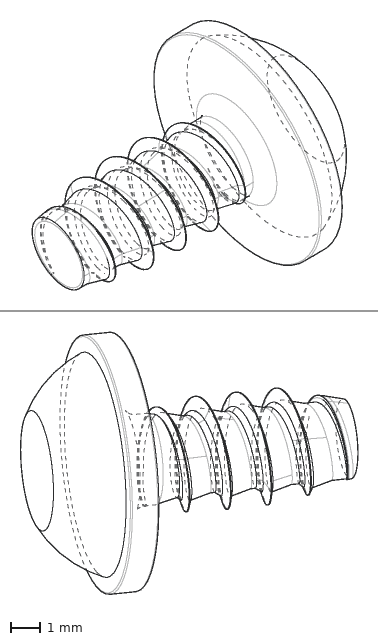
import cadquery as cq
import math

HEAD_HEIGHT = 3.11
TOTAL_LENGTH = 11.1
SHANK_LENGTH = TOTAL_LENGTH - HEAD_HEIGHT
FLANGE_RADIUS = 9.0 / 2
FLANGE_THICKNESS = 1.02
FLANGE_EDGE_ROUND = 0.05
DOME_BASE_RADIUS = 3.91
DOME_TOP_RADIUS = 2.09

NECK_RADIUS = 1.59
NECK_LENGTH = 0.97
NECK_FILLET = 0.58
NECK_TAPER_LENGTH = 1.0
CORE_RADIUS = 1.38
TIP_RECESS_RADIUS = 1.29
TIP_RECESS_DEPTH = 0.11

THREAD_PITCH = 1.45
FIRST_CREST_DEPTH = 1.04
CREST_RADIUS = 2.0
CREST_HALF_WIDTH = 0.017
FIRST_CREST_RADIUS = 1.71
RUN_IN_SLOPE = 0.33
RUN_OUT_TURN = 4.5
RUN_OUT_RADIUS = 1.48
RUN_OUT_SLOPE = 0.4
START_TURN = -0.4
END_TURN = 4.7
SEGMENT_COUNT = 12
STEPS_PER_SEGMENT = 8

UPPER_FLANK_WIDTH = 0.38
UPPER_BEND_WIDTH = 0.15
UPPER_BEND_RADIUS = 1.52
LOWER_ROOT_OFFSET = 0.17
LOWER_ROOT_RADIUS = 1.57
TAPER_END_OFFSET = 0.94
MIN_FLANK_HEIGHT = 0.017
EMBED_RADIUS = CORE_RADIUS - 0.01
INNER_RADIUS = CORE_RADIUS - 0.15


def make_head():
    """Flange and spherical dome with a flat top."""
    dome_height = HEAD_HEIGHT - FLANGE_THICKNESS
    centre_drop = (DOME_BASE_RADIUS**2 - DOME_TOP_RADIUS**2 - dome_height**2) / (2 * dome_height)
    sphere_radius = math.hypot(DOME_BASE_RADIUS, centre_drop)
    mid_height = dome_height / 2
    mid_radius = math.sqrt(sphere_radius**2 - (centre_drop + mid_height) ** 2)
    flange = (
        cq.Workplane("XZ")
        .circle(FLANGE_RADIUS)
        .extrude(-FLANGE_THICKNESS)
        .edges()
        .fillet(FLANGE_EDGE_ROUND)
    )
    dome = (
        cq.Workplane("XY")
        .lineTo(0, HEAD_HEIGHT)
        .lineTo(DOME_TOP_RADIUS, HEAD_HEIGHT)
        .threePointArc((mid_radius, FLANGE_THICKNESS + mid_height), (DOME_BASE_RADIUS, FLANGE_THICKNESS))
        .lineTo(DOME_BASE_RADIUS, FLANGE_THICKNESS / 2)
        .lineTo(0, FLANGE_THICKNESS / 2)
        .close()
        .revolve(360, (0, 0, 0), (0, 1, 0))
    )
    return flange.union(dome)


def make_shank():
    """Core with a filleted neck that tapers down to the core radius."""
    fillet_outer = NECK_RADIUS + NECK_FILLET
    fillet_mid = NECK_FILLET * (1 - math.sqrt(0.5))
    overlap = FLANGE_THICKNESS / 2
    return (
        cq.Workplane("XY")
        .moveTo(0, overlap)
        .lineTo(fillet_outer, overlap)
        .lineTo(fillet_outer, 0)
        .threePointArc((NECK_RADIUS + fillet_mid, -fillet_mid), (NECK_RADIUS, -NECK_FILLET))
        .lineTo(NECK_RADIUS, -NECK_LENGTH)
        .lineTo(CORE_RADIUS, -NECK_LENGTH - NECK_TAPER_LENGTH)
        .lineTo(CORE_RADIUS, -SHANK_LENGTH)
        .lineTo(0, -SHANK_LENGTH)
        .close()
        .revolve(360, (0, 0, 0), (0, 1, 0))
    )


def thread_section(turn):
    """Corners of the thread section as (radius, axial distance past the crest)."""
    run_in = FIRST_CREST_RADIUS + RUN_IN_SLOPE * turn
    run_out = RUN_OUT_RADIUS + RUN_OUT_SLOPE * (RUN_OUT_TURN - turn)
    crest = min(CREST_RADIUS, run_in, run_out)
    flank_limit = crest - MIN_FLANK_HEIGHT
    height_ratio = (crest - EMBED_RADIUS) / (CREST_RADIUS - EMBED_RADIUS)
    upper_root = CREST_HALF_WIDTH + UPPER_FLANK_WIDTH * height_ratio
    upper_bend = CREST_HALF_WIDTH + UPPER_BEND_WIDTH * height_ratio
    return [
        (INNER_RADIUS, -upper_root),
        (EMBED_RADIUS, -upper_root),
        (min(UPPER_BEND_RADIUS, flank_limit), -upper_bend),
        (crest, -CREST_HALF_WIDTH),
        (crest, CREST_HALF_WIDTH),
        (min(LOWER_ROOT_RADIUS, flank_limit), LOWER_ROOT_OFFSET),
        (EMBED_RADIUS, TAPER_END_OFFSET),
        (INNER_RADIUS, TAPER_END_OFFSET),
    ]


def helix_point(turn, radius, offset):
    """Point on the right-handed helix, which runs from +X towards +Z and away from the head."""
    angle = 2 * math.pi * turn
    depth = FIRST_CREST_DEPTH + THREAD_PITCH * turn + offset
    return cq.Vector(radius * math.cos(angle), -depth, radius * math.sin(angle))


def make_thread():
    """Thread with a crest that grows from the neck and fades at the tip, cut flush with the tip."""
    segment_turns = (END_TURN - START_TURN) / SEGMENT_COUNT
    step = segment_turns / STEPS_PER_SEGMENT
    rings = []
    for i in range(SEGMENT_COUNT * STEPS_PER_SEGMENT + 1):
        turn = START_TURN + i * step
        rings.append([helix_point(turn, radius, offset) for radius, offset in thread_section(turn)])
    faces = []
    for first in range(0, len(rings) - 1, STEPS_PER_SEGMENT):
        segment = rings[first : first + STEPS_PER_SEGMENT + 1]
        rails = [cq.Edge.makeSpline(list(points)) for points in zip(*segment)]
        faces += [cq.Face.makeRuledSurface(a, b) for a, b in zip(rails, rails[1:] + rails[:1])]
    for ring in (rings[0], rings[-1]):
        faces.append(cq.Face.makeFromWires(cq.Wire.makePolygon(ring, close=True)))
    thread = cq.Workplane(obj=cq.Solid.makeSolid(cq.Shell.makeShell(faces)))
    keep = cq.Workplane("XZ").circle(FLANGE_RADIUS).extrude(SHANK_LENGTH)
    return thread.intersect(keep)


def make_tip_recess():
    """Shallow conical hollow in the tip."""
    return cq.Workplane(
        obj=cq.Solid.makeCone(
            TIP_RECESS_RADIUS, 0, TIP_RECESS_DEPTH, cq.Vector(0, -SHANK_LENGTH, 0), cq.Vector(0, 1, 0)
        )
    )


result = make_head().union(make_shank()).union(make_thread()).cut(make_tip_recess())